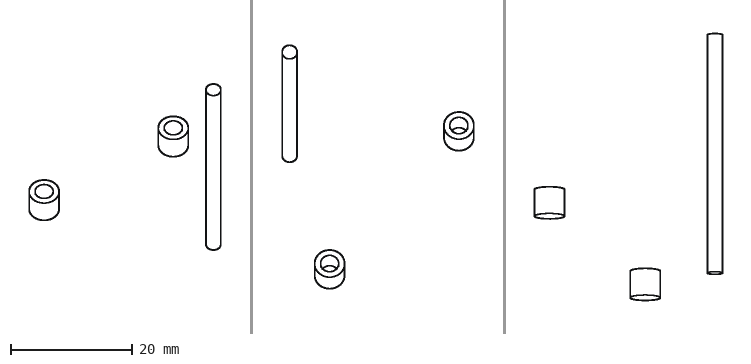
import cadquery as cq

overall_height = 40.5

bushing_diameter = 5.0
bushing_height = 4.5
bore_diameter = 3.0
floor_thickness = 0.5
bushing_spacing_y = 29.93
bushing_step_z = 8.9

pin_diameter = 2.5
pin_length = 40.0
pin_bottom_z = overall_height - pin_length
pin_x = 20.05
pin_y = 19.5


def make_bushing(y, bottom_z):
    """Upright cup with its axis at x = 0 and a bore open at the top."""
    body = cq.Workplane("XY").circle(bushing_diameter / 2).extrude(bushing_height)
    bore = (
        cq.Workplane("XY")
        .workplane(offset=floor_thickness)
        .circle(bore_diameter / 2)
        .extrude(bushing_height - floor_thickness)
    )
    return body.cut(bore).translate((0, y, bottom_z))


def make_pin():
    """Solid round rod standing parallel to Z."""
    rod = cq.Workplane("XY").circle(pin_diameter / 2).extrude(pin_length)
    return rod.translate((pin_x, pin_y, pin_bottom_z))


bushing_places = [(0, bushing_step_z), (bushing_spacing_y, 0)]
bushings = [make_bushing(y, bottom_z) for y, bottom_z in bushing_places]
pin = make_pin()

result = cq.Compound.makeCompound([*[bushing.val() for bushing in bushings], pin.val()])